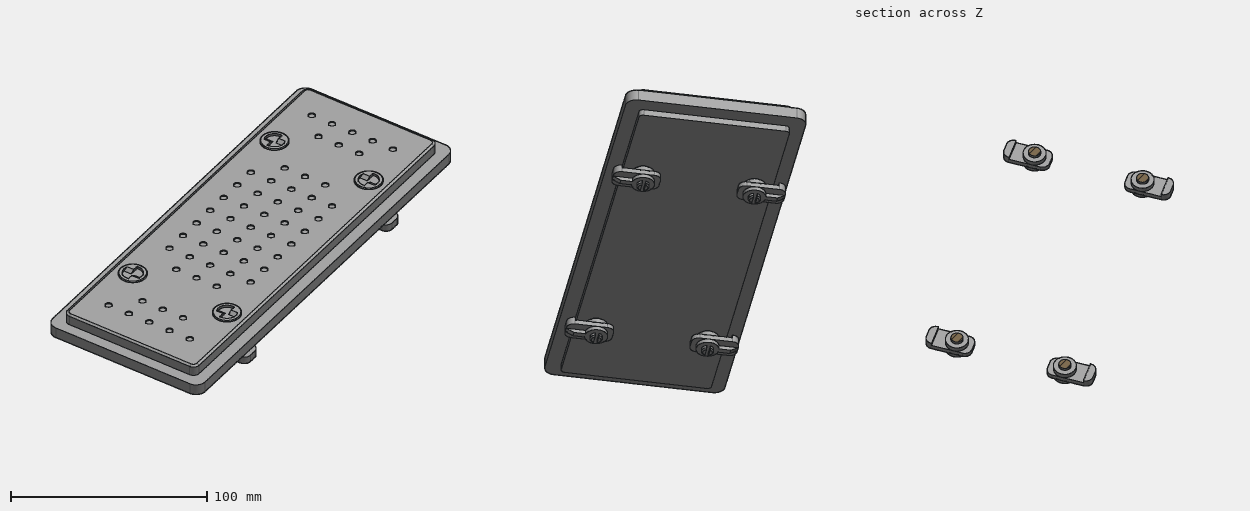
import cadquery as cq

flange_width = 93.5
flange_length = 235.0
flange_corner = 5.6
panel_width = 80.8
panel_length = 222.8
panel_corner = 3.5
panel_edge_width = 1.5
panel_edge_drop = 0.7
base_inset = 1.5

panel_top = -0.7
flange_top = -6.8
flange_bottom = -13.2
base_bottom = -16.7
nut_top = -19.0
hook_top = -20.0
arm_top = -21.6
arm_bottom = -24.2
nut_bottom = -26.3
stud_bottom = -28.5

dimple_diameter = 3.8
dimple_depth = 0.7
dimple_pitch = 12.5
wide_row = 5
narrow_row = 3
wide_rows_per_side = 3
end_row_y = 93.3

fastener_x = 29.0
fastener_y = 65.0
head_radius = 7.5
head_edge = 0.5
recess_radius = 5.5
recess_depth = 1.5
recess_wall_x = 1.0
ramp_run = 2.4
stud_diameter = 6.3
stud_edge = 0.7
stud_slot_width = 1.9
nut_diameter = 11.8

arm_width = 11.8
arm_tip = 15.7
arm_heel = 8.7
arm_corner = 3.8
hook_length = 4.0
rib_width = 2.8


def rounded_slab(width, length, corner, bottom, top):
    """Rectangular slab centred on the Z axis with rounded vertical edges."""
    slab = cq.Workplane("XY").workplane(offset=bottom).rect(width, length).extrude(top - bottom)
    return slab.edges("|Z").fillet(corner)


def cylinder(diameter, bottom, top):
    """Vertical cylinder on the Z axis."""
    return cq.Workplane("XY").workplane(offset=bottom).circle(diameter / 2).extrude(top - bottom)


def profile_slab(points, width):
    """XZ outline extruded symmetrically about the XZ plane."""
    return cq.Workplane("XZ").polyline(points).close().extrude(width / 2, both=True)


def make_plate():
    """Flange with a bevelled panel above and a smaller base below."""
    flange = rounded_slab(flange_width, flange_length, flange_corner, flange_bottom, flange_top)
    panel = rounded_slab(panel_width, panel_length, panel_corner, flange_top, panel_top)
    panel = panel.faces(">Z").chamfer(panel_edge_drop, panel_edge_width)
    base = rounded_slab(
        panel_width - 2 * base_inset,
        panel_length - 2 * base_inset,
        panel_corner - base_inset,
        base_bottom,
        flange_bottom,
    )
    return flange.union(panel).union(base)


def row_points(count, y):
    """Dimple centres of one row, centred on X = 0."""
    return [((i - (count - 1) / 2) * dimple_pitch, y) for i in range(count)]


def make_dimples():
    """Central field with a narrow row at each end, and two rows near each plate end."""
    points = []
    for step in range(-wide_rows_per_side, wide_rows_per_side + 1):
        points += row_points(wide_row, step * dimple_pitch)
    for side in (-1, 1):
        points += row_points(narrow_row, side * (wide_rows_per_side + 1) * dimple_pitch)
        points += row_points(narrow_row, side * (end_row_y - dimple_pitch))
        points += row_points(wide_row, side * end_row_y)
    top_plane = cq.Workplane("XY").workplane(offset=panel_top)
    return top_plane.pushPoints(points).circle(dimple_diameter / 2).extrude(-dimple_depth)


def make_recess():
    """Round recess with two opposite quadrants that ramp up to the head's top."""
    recess = cylinder(2 * recess_radius, -recess_depth, 0)
    ramp = (
        cq.Workplane("YZ")
        .workplane(offset=recess_wall_x)
        .polyline([(0, -recess_depth), (ramp_run, 0), (recess_radius, 0), (recess_radius, -recess_depth)])
        .close()
        .extrude(recess_radius - recess_wall_x)
    )
    opposite_ramp = ramp.rotate((0, 0, 0), (0, 0, 1), 180)
    return recess.cut(ramp).cut(opposite_ramp).mirror("YZ")


def make_arm():
    """Clamping arm with an upturned hook at its tip and a sloped rib beneath."""
    hook_start = arm_tip - hook_length
    arm = profile_slab(
        [
            (-arm_heel, arm_bottom),
            (arm_tip, arm_bottom),
            (arm_tip, hook_top),
            (hook_start, hook_top),
            (hook_start, arm_top),
            (-arm_heel, arm_top),
        ],
        arm_width,
    )
    outline = (
        cq.Workplane("XY")
        .workplane(offset=arm_bottom)
        .center((arm_tip - arm_heel) / 2, 0)
        .rect(arm_tip + arm_heel, arm_width)
        .extrude(hook_top - arm_bottom)
        .edges("|Z")
        .fillet(arm_corner)
    )
    rib = profile_slab(
        [(0, arm_bottom), (arm_tip, arm_bottom), (hook_start, nut_bottom), (0, nut_bottom)],
        rib_width,
    )
    return arm.intersect(outline).union(rib)


def make_fastener():
    """Head, stud, nut and clamping arm on the Z axis, with the arm towards +X."""
    head = cylinder(2 * head_radius, panel_top, 0).faces(">Z").chamfer(head_edge)
    stud = cylinder(stud_diameter, stud_bottom, base_bottom).faces("<Z").chamfer(stud_edge)
    nut = cylinder(nut_diameter, nut_bottom, nut_top)
    slot = (
        cq.Workplane("XY")
        .workplane(offset=stud_bottom)
        .rect(stud_slot_width, stud_diameter)
        .extrude(nut_bottom - stud_bottom)
    )
    return head.union(stud.cut(slot)).union(nut).union(make_arm())


def in_all_corners(shape):
    """The shape joined with its mirror images about the XZ and YZ planes."""
    pair = shape.union(shape.mirror("YZ"))
    return pair.union(pair.mirror("XZ"))


corner_position = (fastener_x, fastener_y, 0)
fasteners = in_all_corners(make_fastener().translate(corner_position))
recesses = in_all_corners(make_recess().translate(corner_position))
result = make_plate().cut(make_dimples()).union(fasteners).cut(recesses)